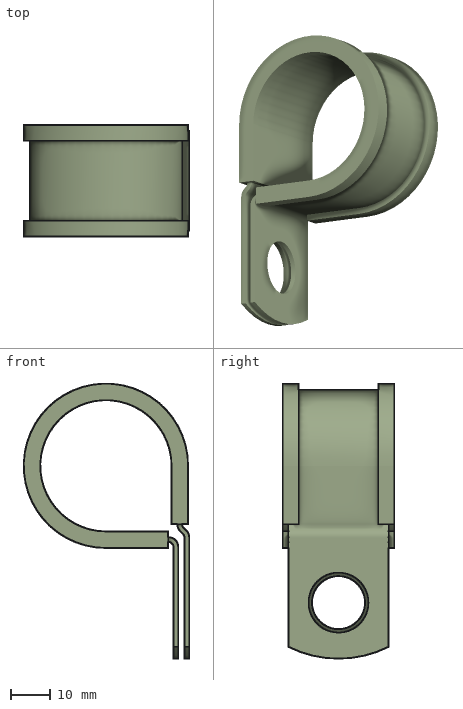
import cadquery as cq
import math

loop_outer_radius = 21.0
cushion_thickness = 4.3
loop_inner_radius = loop_outer_radius - cushion_thickness
cushion_width = 28.5
rim_width = 4.1
groove_width = cushion_width - 2 * rim_width
lower_end_x = 15.85
upper_end_z = -14.9

strap_thickness = 1.25
strap_width = 25.5
strap_outer_radius = 19.4
strap_mid_radius = strap_outer_radius - strap_thickness / 2
bend_radius = 1.5 * strap_thickness
outer_face_x = 21.25
inner_leg_x = 17.8
outer_leg_x = outer_face_x - strap_thickness / 2

total_height = 70.1
tip_z = loop_outer_radius - total_height
tip_arc_rise = 3.0
inner_hole_diameter = 13.5
outer_hole_diameter = 15.3
hole_to_tip = 14.3
hole_z = tip_z + hole_to_tip

cutter_overrun = 0.7
diagonal = math.sqrt(0.5)


def loop_band(inner_radius, outer_radius, width):
    """Three-quarter ring with straight ends, centred on the XZ plane."""
    return (
        cq.Workplane("XZ")
        .moveTo(lower_end_x, -outer_radius)
        .lineTo(0, -outer_radius)
        .threePointArc((-outer_radius * diagonal, outer_radius * diagonal), (outer_radius, 0))
        .lineTo(outer_radius, upper_end_z)
        .lineTo(inner_radius, upper_end_z)
        .lineTo(inner_radius, 0)
        .threePointArc((-inner_radius * diagonal, inner_radius * diagonal), (0, -inner_radius))
        .lineTo(lower_end_x, -inner_radius)
        .close()
        .extrude(width / 2, both=True)
    )


def make_cushion():
    cushion = loop_band(loop_inner_radius, loop_outer_radius, cushion_width)
    return cushion.cut(loop_band(strap_outer_radius, loop_outer_radius + cutter_overrun, groove_width))


def make_strap():
    jog = outer_leg_x - strap_mid_radius
    bend_shift = bend_radius * (1 - diagonal)
    bend_drop = bend_radius * diagonal
    slope_run = jog - 2 * bend_shift
    slope_start = (strap_mid_radius + bend_shift, upper_end_z - bend_drop)
    slope_end = (slope_start[0] + slope_run, slope_start[1] - slope_run)

    path = (
        cq.Workplane("XZ")
        .moveTo(inner_leg_x, tip_z)
        .lineTo(inner_leg_x, -strap_mid_radius - bend_radius)
        .tangentArcPoint((inner_leg_x - bend_radius, -strap_mid_radius), relative=False)
        .lineTo(0, -strap_mid_radius)
        .threePointArc(
            (-strap_mid_radius * diagonal, strap_mid_radius * diagonal), (strap_mid_radius, 0)
        )
        .lineTo(strap_mid_radius, upper_end_z)
        .tangentArcPoint(slope_start, relative=False)
        .lineTo(*slope_end)
        .tangentArcPoint((outer_leg_x, slope_end[1] - bend_drop), relative=False)
        .lineTo(outer_leg_x, tip_z)
    )
    return (
        cq.Workplane("XY", origin=(inner_leg_x, 0, tip_z))
        .rect(strap_thickness, strap_width)
        .sweep(path)
    )


def bolt_hole(leg_x, diameter):
    """Cylinder through one leg only."""
    return (
        cq.Workplane("YZ", origin=(leg_x - strap_thickness, 0, hole_z))
        .circle(diameter / 2)
        .extrude(2 * strap_thickness)
    )


def leg_trim():
    """Everything to remove from both legs: the bolt holes and the space below the rounded tips."""
    start_x = lower_end_x
    depth = outer_face_x + cutter_overrun - start_x
    half_width = strap_width / 2
    side_z = tip_z + tip_arc_rise
    below_z = tip_z - cutter_overrun
    inner_hole = bolt_hole(inner_leg_x, inner_hole_diameter)
    outer_hole = bolt_hole(outer_leg_x, outer_hole_diameter)
    tip_waste = (
        cq.Workplane("YZ", origin=(start_x, 0, 0))
        .moveTo(-half_width, side_z)
        .threePointArc((0, tip_z), (half_width, side_z))
        .lineTo(half_width, below_z)
        .lineTo(-half_width, below_z)
        .close()
        .extrude(depth)
    )
    return tip_waste.union(inner_hole).union(outer_hole)


result = make_cushion().union(make_strap().cut(leg_trim()))